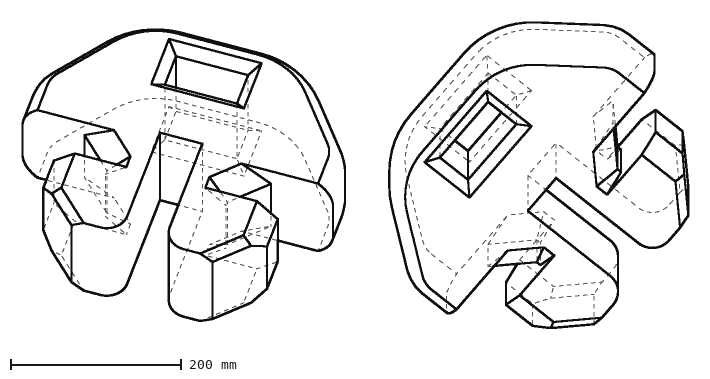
import cadquery as cq
import math

width = 382.3
depth = 310.8
height = 137.2
half_width = width / 2
half_height = height / 2

head_front = 137.5
shoulder_y = 192.5
crown_half_width = 101.3
shoulder_radius = 51.0
crown_radius = 105.0
rim_radius = 50.5
rim_flat_half = 29.5

bevel = 25.5
neck_half_width = 74.0
neck_flare_half_width = 114.5
foot_half_width = 137.5
foot_back = 91.7
foot_corner = 51.0
foot_corner_bevel = 10.7

slot_half_width = 26.0
slot_end = 150.5
slot_mouth_radius = 25.2
window_width = 88.5
window_depth = 43.0
window_y = 247.7
window_bevel = 12.5

clearance = 4.0


def prism(points):
    """Full-height block with a polygonal outline."""
    return cq.Workplane("XY").workplane(offset=-half_height).polyline(points).close().extrude(height)


def rim_edges_of(body, start, end):
    """Top and bottom edges running from start to end, on both sides of X = 0."""
    middle_x = (start[0] + end[0]) / 2
    middle_y = (start[1] + end[1]) / 2
    return [
        body.edges(cq.NearestToPointSelector((side * middle_x, middle_y, z))).val()
        for side in (-1, 1)
        for z in (-half_height, half_height)
    ]


def bevel_wedges(start, end, size):
    """Wedges that bevel the rims along the line from start to end, on both sides of X = 0."""
    along = cq.Vector(end[0] - start[0], end[1] - start[1], 0).normalized()
    outward = along.cross(cq.Vector(0, 0, 1))
    middle = cq.Vector((start[0] + end[0]) / 2, (start[1] + end[1]) / 2, half_height)
    section = cq.Plane(origin=middle, xDir=outward, normal=along)
    up = section.yDir.z
    wedge = (
        cq.Workplane(section)
        .polyline([(-size, 0), (size, 0), (size, -2 * size * up)])
        .close()
        .extrude(foot_half_width, both=True)
    )
    upper = wedge.union(wedge.mirror("YZ"))
    return upper.union(upper.mirror("XY"))


def make_head():
    """Head plate with rounded plan corners and a rounded rim above and below."""
    outline = [
        (-half_width, head_front),
        (half_width, head_front),
        (half_width, shoulder_y),
        (crown_half_width, depth),
        (-crown_half_width, depth),
        (-half_width, shoulder_y),
    ]
    head = prism(outline)
    for corner_x, corner_y, radius in (
        (half_width, shoulder_y, shoulder_radius),
        (crown_half_width, depth, crown_radius),
    ):
        for side in (-1, 1):
            corner = cq.NearestToPointSelector((side * corner_x, corner_y, 0))
            head = head.edges("|Z").edges(corner).fillet(radius)

    rim_edges = head.faces("<Z").edges().vals()
    path_edges = [edge for edge in rim_edges if edge.Center().y > head_front + clearance]
    path = cq.Wire.assembleEdges(path_edges)

    rim_rise = half_height - rim_flat_half
    rim_angle = math.asin(rim_rise / rim_radius)

    def arc_point(angle):
        inset = rim_radius * (1 - math.cos(angle))
        return (half_width - inset, rim_flat_half + rim_radius * math.sin(angle))

    cutter = (
        cq.Workplane("XZ", origin=(0, head_front, 0))
        .moveTo(*arc_point(0))
        .threePointArc(arc_point(rim_angle / 2), arc_point(rim_angle))
        .lineTo(half_width + clearance, half_height)
        .lineTo(half_width + clearance, rim_flat_half)
        .close()
        .sweep(cq.Workplane(path))
    )
    return head.cut(cutter).cut(cutter.mirror("XY"))


def make_neck():
    """Neck flaring into the head, bevelled along its sides."""
    root = (neck_half_width, foot_back)
    bend = (neck_half_width, head_front - (neck_flare_half_width - neck_half_width))
    flare = (neck_flare_half_width, head_front)
    right_side = [root, bend, flare]
    neck = prism(right_side + [(-x, y) for x, y in reversed(right_side)])
    rims = []
    for start, end in ((root, bend), (bend, flare)):
        rims += rim_edges_of(neck, start, end)
    return neck.newObject(rims).chamfer(bevel)


def make_foot():
    """Foot with cut corners, bevelled along its sides and cut corners."""
    back = (foot_half_width, foot_back)
    side = (foot_half_width, foot_corner)
    front = (foot_half_width - foot_corner, 0)
    right_side = [front, side, back]
    foot = prism(right_side + [(-x, y) for x, y in reversed(right_side)])
    foot = foot.cut(bevel_wedges(side, back, bevel))
    return foot.cut(bevel_wedges(front, side, foot_corner_bevel))


def make_slot():
    """Full-height slot, open at the front with rounded mouth edges."""
    mouth = slot_half_width + slot_mouth_radius
    return (
        cq.Workplane("XY", origin=(0, 0, -half_height))
        .moveTo(-mouth, 0)
        .lineTo(mouth, 0)
        .radiusArc((slot_half_width, slot_mouth_radius), slot_mouth_radius)
        .lineTo(slot_half_width, slot_end)
        .lineTo(-slot_half_width, slot_end)
        .lineTo(-slot_half_width, slot_mouth_radius)
        .radiusArc((-mouth, 0), slot_mouth_radius)
        .close()
        .extrude(height)
    )


def make_window():
    """Rectangular through window, bevelled at both ends."""
    window = cq.Workplane("XY").box(window_width, window_depth, height)
    mouth = (
        cq.Workplane("XY", origin=(0, 0, half_height))
        .rect(window_width + 2 * window_bevel, window_depth + 2 * window_bevel)
        .workplane(offset=-window_bevel)
        .rect(window_width, window_depth)
        .loft(ruled=True)
    )
    return window.union(mouth).union(mouth.mirror("XY")).translate((0, window_y, 0))


result = make_head().union(make_neck()).union(make_foot()).cut(make_slot()).cut(make_window())